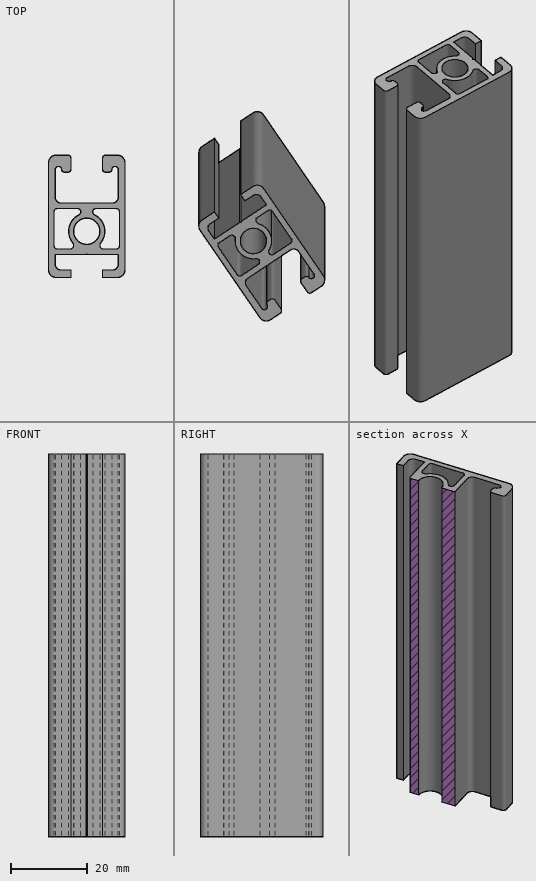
import cadquery as cq

width = 20.0
depth = 32.0
length = 100.0
corner_radius = 2.0
back = depth / 2
front = -depth / 2

mouth_width = 8.2
slot_width = 16.4
slot_corner_radius = 1.5
back_lip = 3.0
back_slot_floor = 3.5
front_lip = 2.0
front_slot_floor = -10.0

hook_width = 2.5
hook_height = 1.5
hook_radius = 0.8
groove_radius = 0.75

chamber_width = 17.0
chamber_back = 2.0
chamber_front = -8.5
chamber_radius = 0.8
stem_width = 3.2
foot_width = 7.0

tube_y = -3.9
tube_diameter = 9.5
bore_diameter = 6.8

mark_width = 0.4
mark_depth = 0.2


def bar(x_min, x_max, y_min, y_max):
    """Full-length rectangular bar with the given section."""
    section = cq.Workplane("XY").center((x_min + x_max) / 2, (y_min + y_max) / 2)
    return section.rect(x_max - x_min, y_max - y_min).extrude(length)


def centred_bar(bar_width, y_min, y_max):
    return bar(-bar_width / 2, bar_width / 2, y_min, y_max)


def rod(diameter, y):
    return cq.Workplane("XY").center(0, y).circle(diameter / 2).extrude(length)


def with_mirror(body):
    """The body together with its copy on the other side of the YZ plane."""
    return body.union(body.mirror("YZ"))


def back_slot():
    hook_base = back - back_lip
    hook_tip = hook_base - hook_height
    groove_inner = -mouth_width / 2 - hook_width
    chamber = centred_bar(slot_width, back_slot_floor, hook_base)
    chamber = chamber.edges("|Z and <Y").fillet(slot_corner_radius)
    hook = bar(groove_inner, -mouth_width / 2, hook_tip, hook_base)
    hook = hook.edges("|Z and <Y").fillet(hook_radius)
    groove_block = bar(-slot_width / 2, groove_inner, hook_tip, hook_base)
    groove = groove_block.edges("|Z and >Y").fillet(groove_radius)
    groove_ceiling = groove_block.cut(groove)
    mouth = centred_bar(mouth_width, back_slot_floor, back)
    return chamber.cut(with_mirror(hook)).cut(with_mirror(groove_ceiling)).union(mouth)


def front_slot():
    chamber = centred_bar(slot_width, front + front_lip, front_slot_floor)
    chamber = chamber.edges("|Z and <Y").fillet(slot_corner_radius)
    mouth = centred_bar(mouth_width, front, front_slot_floor)
    mark = (
        cq.Workplane("XY")
        .moveTo(-mark_width / 2, front_slot_floor)
        .lineTo(mark_width / 2, front_slot_floor)
        .lineTo(0, front_slot_floor + mark_depth)
        .close()
        .extrude(length)
    )
    return chamber.union(mouth).union(mark)


def side_chambers():
    chamber = bar(-chamber_width / 2, -stem_width / 2, chamber_front, chamber_back)
    foot = centred_bar(foot_width, chamber_front, tube_y)
    chamber = chamber.cut(rod(tube_diameter, tube_y)).cut(foot)
    return with_mirror(chamber.edges("|Z").fillet(chamber_radius))


body = centred_bar(width, front, back).edges("|Z").fillet(corner_radius)
body = body.cut(back_slot()).cut(front_slot())

mouth_corners = cq.selectors.BoxSelector(
    (-mouth_width / 2 - hook_radius, back - hook_radius, 0),
    (mouth_width / 2 + hook_radius, back + hook_radius, length),
)
body = body.edges("|Z").edges(mouth_corners).fillet(hook_radius)

result = body.cut(side_chambers()).cut(rod(bore_diameter, tube_y))